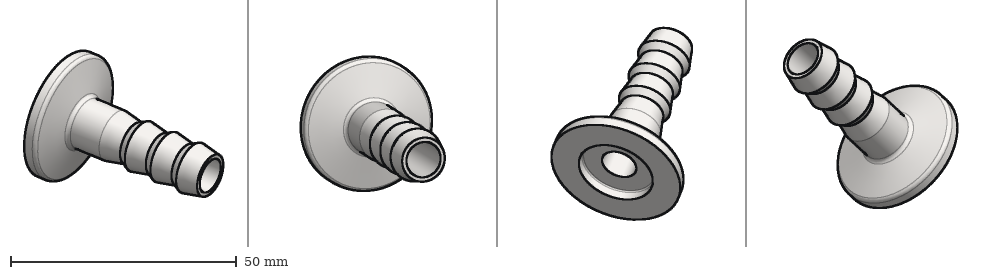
import cadquery as cq
import math

length = 40.0
flange_radius = 30.0 / 2
tube_radius = 12.0 / 2
bore_radius = 8.0 / 2

rim_corner_x = 3.0
clamp_angle = math.radians(15)
flange_fillet = 1.0
recess_radius = 17.2 / 2
recess_depth = 2.5
recess_fillet = 0.3

barb_count = 4
taper_length = 5.0
rise_length = 2.0
valley_radius = 5.0
barb_pitch = taper_length + rise_length
first_crest_x = length - taper_length - (barb_count - 1) * barb_pitch

cone_foot_x = rim_corner_x + (flange_radius - tube_radius) * math.tan(clamp_angle)


def make_outer_body():
    profile = (
        cq.Workplane("XY")
        .lineTo(0, flange_radius)
        .lineTo(rim_corner_x, flange_radius)
        .lineTo(cone_foot_x, tube_radius)
    )
    for barb in range(barb_count):
        crest_x = first_crest_x + barb * barb_pitch
        profile = profile.lineTo(crest_x, tube_radius)
        profile = profile.lineTo(crest_x + taper_length, valley_radius)
    return profile.lineTo(length, 0).close().revolve(360, (0, 0, 0), (1, 0, 0))


def round_flange_edges(body):
    """Round the rim and the foot of the conical clamp face."""
    cone_ends = cq.selectors.BoxSelector(
        (rim_corner_x / 2, -length, -length),
        ((cone_foot_x + first_crest_x) / 2, length, length),
    )
    return body.edges("%CIRCLE").edges(cone_ends).fillet(flange_fillet)


def make_recess():
    recess = cq.Workplane("YZ").circle(recess_radius).extrude(recess_depth)
    return recess.faces(">X").edges().fillet(recess_fillet)


def make_bore():
    return cq.Workplane("YZ").circle(bore_radius).extrude(length)


result = round_flange_edges(make_outer_body()).cut(make_recess()).cut(make_bore())